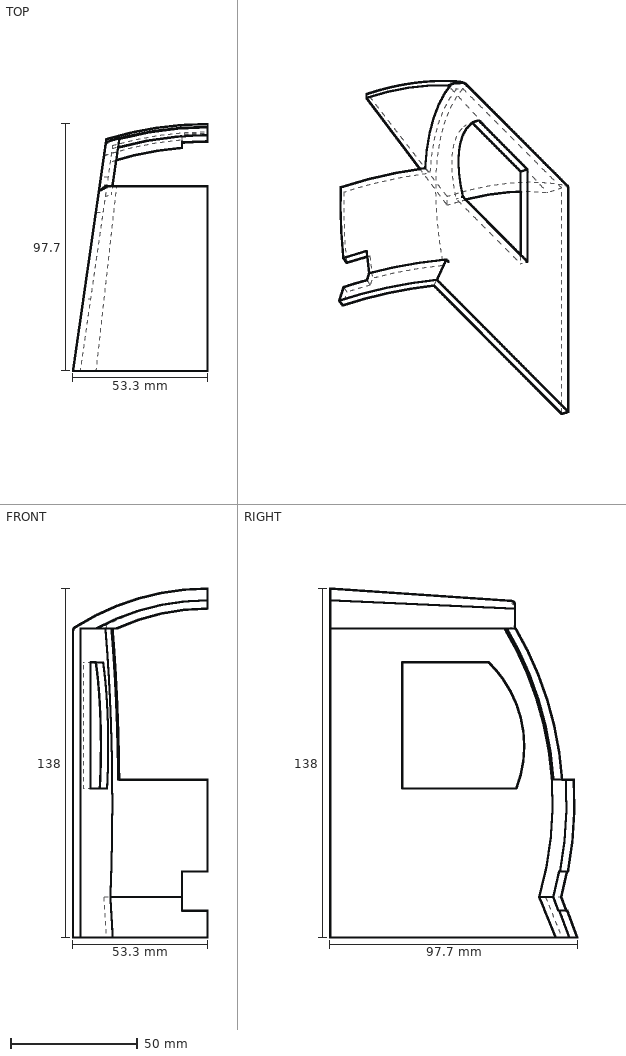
import cadquery as cq
import math

half_width = 53.3
height = 138.0
eaves_height = 122.1
wall_taper = 0.144
wall_thickness = 2.9

bow_radius = 98.0
bow_center_y = -38.6
nose_thickness = 3.2
nose_top = 62.4
nose_foot_y = 97.7
clear_front_y = nose_foot_y + 1.4
kink_y = 91.8
kink_height = 16.0
bulge_y = 96.6
bulge_height = 55.2
nose_eaves_y = 79.5
post_width = 5.1
corner_radius = 2.3

notch_width = 10.1
notch_bottom = 10.6
notch_top = 26.1

window_rear_y = 28.5
window_sill = 58.9
window_head = 108.7
window_sill_y = 73.5
window_head_y = 62.7
window_bulge_y = 76.6
window_bulge_height = 78.7

roof_length = 73.1
roof_front_height = 133.0
roof_rear_thickness = 4.7
roof_front_thickness = 3.0
roof_front_radius = 1.8
eaves_radius = 2.1
mid_arch_x = 31.7


def block(x0, x1, y0, y1, z0, z1):
    """Box between two opposite corners."""
    return cq.Workplane("XY").box(x1 - x0, y1 - y0, z1 - z0, centered=False).translate((x0, y0, z0))


def behind_wall(offset):
    """Full-height region inboard of the outer wall plane shifted by a normal offset."""
    shift = offset * math.hypot(1, wall_taper)
    front_x = shift + wall_taper * clear_front_y
    return (
        cq.Workplane("XY")
        .polyline([(shift, 0), (half_width, 0), (half_width, clear_front_y), (front_x, clear_front_y)])
        .close()
        .extrude(eaves_height)
    )


def revolved_nose(profile):
    """Revolve a YZ profile about the vertical bow axis."""
    axis_start = (bow_center_y, 0)
    axis_end = (bow_center_y, 1)
    return profile.close().revolve(360, axis_start, axis_end).translate((half_width, 0, 0))


def lower_nose(inset):
    """Solid cone under the kink."""
    return revolved_nose(
        cq.Workplane("YZ")
        .moveTo(bow_center_y, 0)
        .lineTo(nose_foot_y - inset, 0)
        .lineTo(kink_y - inset, kink_height)
        .lineTo(bow_center_y, kink_height)
    )


def upper_nose(inset):
    """Solid with the bulging profile above the kink."""
    return revolved_nose(
        cq.Workplane("YZ")
        .moveTo(bow_center_y, kink_height)
        .lineTo(kink_y - inset, kink_height)
        .threePointArc((bulge_y - inset, bulge_height), (nose_eaves_y - inset, eaves_height))
        .lineTo(bow_center_y, eaves_height)
    )


def make_body():
    """Side wall, nose and the post above the nose, with a rounded outer corner."""
    corner_finder = cq.selectors.NearestToPointSelector((wall_taper * bulge_y, bulge_y, bulge_height))
    upper = behind_wall(0).intersect(upper_nose(0)).edges(corner_finder).fillet(corner_radius)
    lower = behind_wall(0).intersect(lower_nose(0))
    hollow = upper_nose(nose_thickness).union(lower_nose(nose_thickness))
    opening = behind_wall(post_width).intersect(
        block(0, half_width, 0, clear_front_y, nose_top, eaves_height)
    )
    notch = block(half_width - notch_width, half_width, 0, clear_front_y, notch_bottom, notch_top)
    return upper.union(lower).cut(behind_wall(wall_thickness).intersect(hollow)).cut(opening).cut(notch)


def roof_section(y, crown, thickness):
    """Closed arched section: outer and inner arcs are concentric."""
    half_chord = half_width - wall_taper * y
    rise = crown - eaves_height
    outer_radius = (half_chord**2 + rise**2) / (2 * rise)
    inner_radius = outer_radius - thickness
    center_z = crown - outer_radius
    inner_half_chord = math.sqrt(inner_radius**2 - (eaves_height - center_z) ** 2)

    def arc_middle(radius, chord):
        angle = math.asin(chord / radius) / 2
        return (half_width - radius * math.sin(angle), center_z + radius * math.cos(angle))

    return (
        cq.Workplane("XZ", origin=(0, y, 0))
        .moveTo(half_width - half_chord, eaves_height)
        .threePointArc(arc_middle(outer_radius, half_chord), (half_width, crown))
        .lineTo(half_width, crown - thickness)
        .threePointArc(
            arc_middle(inner_radius, inner_half_chord), (half_width - inner_half_chord, eaves_height)
        )
        .close()
        .val()
    )


def make_roof():
    """Arched roof with a rounded upper front edge."""
    rear = roof_section(0, height, roof_rear_thickness)
    front = roof_section(roof_length, roof_front_height, roof_front_thickness)
    roof = cq.Workplane(cq.Solid.makeLoft([rear, front], True))
    edge_finder = cq.selectors.NearestToPointSelector((mid_arch_x, roof_length, roof_front_height))
    return roof.faces(">Y").edges(edge_finder).fillet(roof_front_radius)


def make_window():
    """Window cutter running along X through the side wall only."""
    return (
        cq.Workplane("YZ")
        .moveTo(window_rear_y, window_sill)
        .lineTo(window_sill_y, window_sill)
        .threePointArc((window_bulge_y, window_bulge_height), (window_head_y, window_head))
        .lineTo(window_rear_y, window_head)
        .close()
        .extrude(half_width / 2)
    )


cab = make_body().cut(make_window()).union(make_roof())
eaves_middle = (wall_taper * roof_length / 2, roof_length / 2, eaves_height)
result = cab.edges(cq.selectors.NearestToPointSelector(eaves_middle)).fillet(eaves_radius)